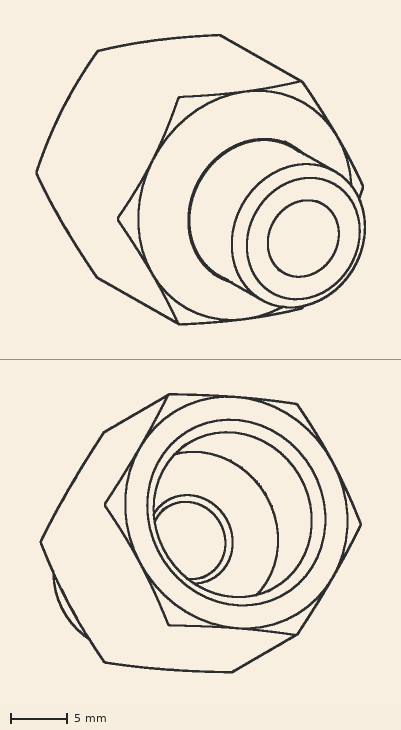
import cadquery as cq
import math

total_length = 30.5
hex_sides = 6
hex_across_flats = 21.0
hex_length = 18.5
hex_edge_radius = 0.3
hex_chamfer_angle = 30.0

spigot_diameter = 13.15
neck_diameter = 13.35
neck_length = 2.3
spigot_chamfer = 1.0
root_fillet = 0.5

bore_diameter = 14.95
bore_mouth_diameter = 16.85
relief_diameter = 15.15
relief_length = 2.3
bore_depth = 12.0

through_diameter = 7.0
through_mouth_diameter = 8.02

hex_across_corners = hex_across_flats / math.cos(math.radians(180 / hex_sides))
face_radius = hex_across_flats / 2
corner_radius = hex_across_corners / 2
hex_chamfer_depth = (corner_radius - face_radius) * math.tan(math.radians(hex_chamfer_angle))


def cylinder(diameter, start, end):
    """Solid cylinder along X between two positions."""
    return cq.Workplane("YZ").workplane(offset=start).circle(diameter / 2).extrude(end - start)


def revolve_profile(points):
    """Revolve a closed (x, radius) outline about the X axis."""
    return cq.Workplane("XY").polyline(points).close().revolve(360, (0, 0, 0), (1, 0, 0))


def hex_body():
    """Hexagonal prism with flats at +Z and -Z, rounded edges and turned corners at both ends."""
    prism = cq.Workplane("YZ").polygon(hex_sides, hex_across_corners).extrude(hex_length)
    prism = prism.edges("|X").fillet(hex_edge_radius)
    turned_envelope = revolve_profile([
        (0, 0),
        (0, face_radius),
        (hex_chamfer_depth, corner_radius),
        (hex_length - hex_chamfer_depth, corner_radius),
        (hex_length, face_radius),
        (hex_length, 0),
    ])
    return prism.intersect(turned_envelope)


def male_end():
    """Spigot with a chamfered tip, and a wider neck flaring into the hexagon."""
    spigot_radius = spigot_diameter / 2
    neck_radius = neck_diameter / 2
    neck_end = hex_length + neck_length
    outline = (
        cq.Workplane("XY")
        .moveTo(hex_length, 0)
        .lineTo(hex_length, neck_radius + root_fillet)
        .radiusArc((hex_length + root_fillet, neck_radius), -root_fillet)
        .lineTo(neck_end, neck_radius)
        .lineTo(neck_end, spigot_radius)
        .lineTo(total_length - spigot_chamfer, spigot_radius)
        .lineTo(total_length, spigot_radius - spigot_chamfer)
        .lineTo(total_length, 0)
        .close()
    )
    return outline.revolve(360, (0, 0, 0), (1, 0, 0))


def female_bore():
    """Blind bore with a countersunk mouth and a wider relief rounded at its floor."""
    mouth_depth = (bore_mouth_diameter - bore_diameter) / 2
    bore = cylinder(bore_diameter, 0, bore_depth - relief_length)
    mouth = revolve_profile([
        (0, 0),
        (0, bore_mouth_diameter / 2),
        (mouth_depth, bore_diameter / 2),
        (mouth_depth, 0),
    ])
    relief = cylinder(relief_diameter, bore_depth - relief_length, bore_depth)
    relief = relief.faces(">X").edges().fillet(root_fillet)
    return bore.union(mouth).union(relief)


def through_hole():
    """Through hole with a countersink where it leaves the bore floor."""
    countersink_depth = (through_mouth_diameter - through_diameter) / 2
    countersink = revolve_profile([
        (bore_depth, 0),
        (bore_depth, through_mouth_diameter / 2),
        (bore_depth + countersink_depth, through_diameter / 2),
        (bore_depth + countersink_depth, 0),
    ])
    return cylinder(through_diameter, 0, total_length).union(countersink)


result = hex_body().union(male_end()).cut(female_bore()).cut(through_hole())